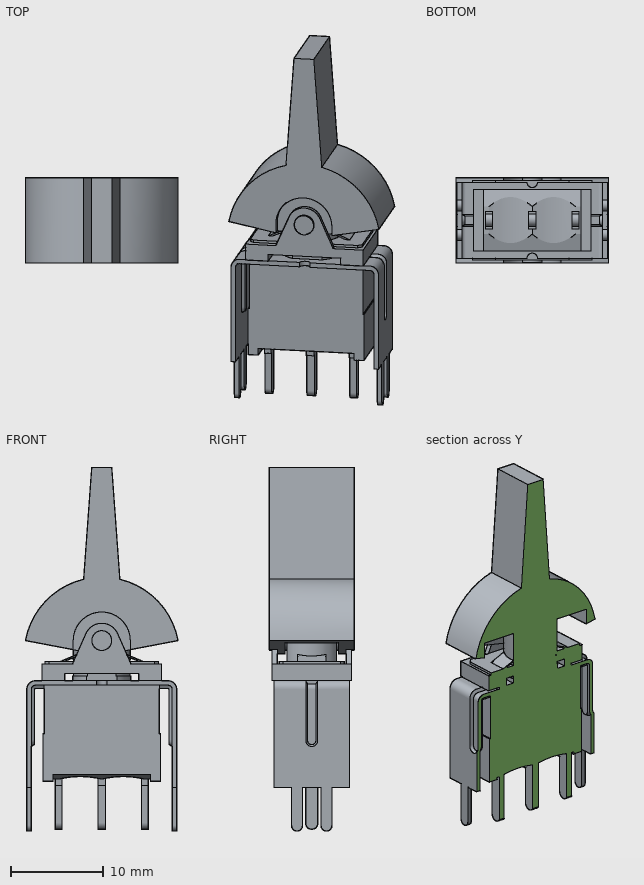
import cadquery as cq
import math


ROCKER_WIDTH = 9.27
ROCKER_HALF_SPAN = 8.3
ROCKER_ARC_RADIUS = 8.44
ROCKER_ARC_CENTER_Z = -1.54
ROCKER_SKIRT_SLOPE = 0.19
ROCKER_BOTTOM_Z = -1.45
OVERALL_HEIGHT = 39.5
LEVER_TOP_Z = 18.8
LEVER_TOP_HALF = 1.1
LEVER_BASE_HALF = 1.98
EAR_RECESS_RADIUS = 3.1
ROCKER_CAVITY_LENGTH = 14.1
ROCKER_CAVITY_WIDTH = 5.8
ROCKER_CAVITY_TOP_Z = 1.5

BRACKET_LENGTH = 13.0
BRACKET_WIDTH = 8.66
BRACKET_TOP_Z = -2.54
BRACKET_GAP_LENGTH = 8.0
BRACKET_GAP_TOP_Z = -3.58
EAR_RADIUS = 1.88
EAR_BASE_HALF = 3.18
EAR_THICKNESS = 0.6
PIVOT_DIAMETER = 2.15
PIVOT_LENGTH = 9.2

SEAL_LENGTH = 12.34
SEAL_WIDTH = 7.06
SEAL_TOP_Z = -2.27
SEAL_CHAMFER = 0.42
TAB_WIDTH = 3.06
TAB_FOOT_X = 4.5
TAB_TOP_Z = -1.5
TAB_THICKNESS = 0.2
BUSHING_RADIUS = 3.1
BUSHING_FLATS = 5.4
COLLAR_RADIUS = 3.16
COLLAR_TOP_Z = -3.85

FRAME_LENGTH = 16.3
FRAME_WIDTH = 8.24
FRAME_THICKNESS = 0.5
FRAME_TOP_Z = -4.35
FRAME_BEND_RADIUS = 0.95
LEG_BOTTOM_Z = -15.96
FRAME_NOTCH_RADIUS = 0.56
FRAME_PIN_SPACING = 3.2
FRAME_PIN_WIDTH = 1.2
FRAME_PIN_BOTTOM_Z = LEVER_TOP_Z - OVERALL_HEIGHT
EMBOSS_BASE_HALF = 0.65
EMBOSS_TIP_HALF = 0.45
EMBOSS_DEPTH = 0.36
EMBOSS_BOTTOM_Z = -11.5
EMBOSS_INNER_X = 5.0

BODY_WIDTH = 6.7
BODY_UPPER_LENGTH = 12.54
BODY_LOWER_LENGTH = 12.8
BODY_STEP_Z = -10.1
BODY_BOTTOM_Z = -15.3
BODY_NOTCH_LENGTH = 10.56
BODY_NOTCH_TOP_Z = -14.55
SEALANT_RIDGE_WIDTH = 3.0
SEALANT_LOW_Z = -15.05
SEALANT_HIGH_Z = -14.78
TERMINAL_PITCH = 4.68
TERMINAL_WIDTH = 1.35
TERMINAL_BOTTOM_Z = -20.5
END_TERMINAL_THICKNESS = 0.75
MIDDLE_TERMINAL_THICKNESS = 0.86
SHOULDER_WIDTH = 1.9
SHOULDER_BOTTOM_Z = -15.74

FRAME_UNDERSIDE_Z = FRAME_TOP_Z - FRAME_THICKNESS


def block(length, width, bottom, top):
    """Box centred on the Z axis between two heights."""
    return cq.Workplane("XY", origin=(0, 0, bottom)).rect(length, width).extrude(top - bottom)


def extrude_along_y(outline, width):
    """Extrude an XZ outline symmetrically about y = 0."""
    return outline.extrude(width / 2, both=True)


def make_rocker():
    arc_top_z = ROCKER_ARC_CENTER_Z + ROCKER_ARC_RADIUS
    base_z = ROCKER_ARC_CENTER_Z + math.sqrt(ROCKER_ARC_RADIUS**2 - LEVER_BASE_HALF**2)
    rim_z = ROCKER_ARC_CENTER_Z + math.sqrt(ROCKER_ARC_RADIUS**2 - ROCKER_HALF_SPAN**2)
    bottom_half = ROCKER_HALF_SPAN - (rim_z - ROCKER_BOTTOM_Z) / ROCKER_SKIRT_SLOPE

    segment = (
        cq.Workplane("XZ")
        .moveTo(-ROCKER_HALF_SPAN, rim_z)
        .threePointArc((0, arc_top_z), (ROCKER_HALF_SPAN, rim_z))
        .lineTo(bottom_half, ROCKER_BOTTOM_Z)
        .lineTo(-bottom_half, ROCKER_BOTTOM_Z)
        .close()
    )
    lever = cq.Workplane("XZ").polyline(
        [
            (-LEVER_BASE_HALF, 0),
            (-LEVER_BASE_HALF, base_z),
            (-LEVER_TOP_HALF, LEVER_TOP_Z),
            (LEVER_TOP_HALF, LEVER_TOP_Z),
            (LEVER_BASE_HALF, base_z),
            (LEVER_BASE_HALF, 0),
        ]
    ).close()
    rocker = extrude_along_y(segment, ROCKER_WIDTH).union(extrude_along_y(lever, ROCKER_WIDTH))

    recess = (
        cq.Workplane("XZ")
        .moveTo(-EAR_RECESS_RADIUS, ROCKER_BOTTOM_Z)
        .lineTo(-EAR_RECESS_RADIUS, 0)
        .threePointArc((0, EAR_RECESS_RADIUS), (EAR_RECESS_RADIUS, 0))
        .lineTo(EAR_RECESS_RADIUS, ROCKER_BOTTOM_Z)
        .close()
    )
    web_width = BRACKET_WIDTH - 2 * EAR_THICKNESS
    web = block(2 * ROCKER_HALF_SPAN, web_width, ROCKER_BOTTOM_Z, LEVER_TOP_Z)
    rocker = rocker.cut(extrude_along_y(recess, ROCKER_WIDTH).cut(web))

    cavity = block(ROCKER_CAVITY_LENGTH, ROCKER_CAVITY_WIDTH, ROCKER_BOTTOM_Z, ROCKER_CAVITY_TOP_Z)
    return rocker.cut(cavity)


def make_bracket():
    base = block(BRACKET_LENGTH, BRACKET_WIDTH, FRAME_TOP_Z, BRACKET_TOP_Z)
    base = base.cut(block(BRACKET_GAP_LENGTH, BRACKET_WIDTH, FRAME_TOP_Z, BRACKET_GAP_TOP_Z))

    corner_distance = math.hypot(EAR_BASE_HALF, BRACKET_TOP_Z)
    corner_angle = math.atan2(BRACKET_TOP_Z, EAR_BASE_HALF)
    tangent_angle = corner_angle + math.acos(EAR_RADIUS / corner_distance)
    tangent_x = EAR_RADIUS * math.cos(tangent_angle)
    tangent_z = EAR_RADIUS * math.sin(tangent_angle)
    ear = (
        cq.Workplane("XZ")
        .moveTo(-EAR_BASE_HALF, BRACKET_TOP_Z)
        .lineTo(-tangent_x, tangent_z)
        .threePointArc((0, EAR_RADIUS), (tangent_x, tangent_z))
        .lineTo(EAR_BASE_HALF, BRACKET_TOP_Z)
        .close()
    )
    between_ears = block(BRACKET_LENGTH, BRACKET_WIDTH - 2 * EAR_THICKNESS, BRACKET_TOP_Z, EAR_RADIUS)
    ears = extrude_along_y(ear, BRACKET_WIDTH).cut(between_ears)
    pivot = extrude_along_y(cq.Workplane("XZ").circle(PIVOT_DIAMETER / 2), PIVOT_LENGTH)
    return base.union(ears).union(pivot)


def make_flatted_cylinder(radius, top):
    """Upright cylinder standing on the body, with a flat on the front and on the back."""
    flats = block(2 * radius, BUSHING_FLATS, FRAME_UNDERSIDE_Z, top)
    base = cq.Workplane("XY", origin=(0, 0, FRAME_UNDERSIDE_Z))
    cylinder = base.circle(radius).extrude(top - FRAME_UNDERSIDE_Z)
    return cylinder.intersect(flats)


def make_seal_and_bushing():
    seal = block(SEAL_LENGTH, SEAL_WIDTH, BRACKET_TOP_Z, SEAL_TOP_Z).edges("|Z").chamfer(SEAL_CHAMFER)
    bushing = make_flatted_cylinder(BUSHING_RADIUS, ROCKER_CAVITY_TOP_Z)
    collar = make_flatted_cylinder(COLLAR_RADIUS, COLLAR_TOP_Z)
    tab_end_x = math.sqrt(BUSHING_RADIUS**2 - (TAB_WIDTH / 2) ** 2)
    tab_outline = cq.Workplane("XZ").polyline(
        [
            (TAB_FOOT_X, SEAL_TOP_Z),
            (tab_end_x, TAB_TOP_Z),
            (tab_end_x, TAB_TOP_Z - TAB_THICKNESS),
            (TAB_FOOT_X, SEAL_TOP_Z - TAB_THICKNESS),
        ]
    ).close()
    tab = extrude_along_y(tab_outline, TAB_WIDTH)
    return seal.union(bushing).union(collar).union(tab).union(tab.mirror("YZ"))


def make_emboss(inset):
    """Tapered bead on the +X leg, rooted `inset` inside the outer frame surface."""
    face_x = FRAME_LENGTH / 2 - inset
    face_z = FRAME_TOP_Z - inset
    radius = FRAME_BEND_RADIUS - inset
    end_z = EMBOSS_BOTTOM_Z + EMBOSS_BASE_HALF
    bend_z = face_z - radius
    bend_x = face_x - radius
    diagonal = radius * math.sqrt(0.5)
    path = (
        cq.Workplane("XZ")
        .moveTo(face_x, end_z)
        .lineTo(face_x, bend_z)
        .threePointArc((bend_x + diagonal, bend_z + diagonal), (bend_x, face_z))
        .lineTo(EMBOSS_INNER_X, face_z)
    )
    bead = (
        cq.Workplane("XY", origin=(face_x, 0, end_z))
        .polyline(
            [
                (0, -EMBOSS_BASE_HALF),
                (0, EMBOSS_BASE_HALF),
                (-EMBOSS_DEPTH, EMBOSS_TIP_HALF),
                (-EMBOSS_DEPTH, -EMBOSS_TIP_HALF),
            ]
        )
        .close()
        .sweep(path)
    )
    round_end = cq.Solid.makeCone(
        EMBOSS_BASE_HALF, EMBOSS_TIP_HALF, EMBOSS_DEPTH, cq.Vector(face_x, 0, end_z), cq.Vector(-1, 0, 0)
    )
    return bead.union(cq.Workplane(obj=round_end))


def make_blade(thickness, width, bottom, top):
    """Flat pin with a full-round lower end, centred on the Z axis."""
    radius = width / 2
    return (
        cq.Workplane("YZ")
        .moveTo(-radius, top)
        .lineTo(-radius, bottom + radius)
        .threePointArc((0, bottom), (radius, bottom + radius))
        .lineTo(radius, top)
        .close()
        .extrude(thickness / 2, both=True)
    )


def make_frame():
    inner_length = FRAME_LENGTH - 2 * FRAME_THICKNESS
    inner_radius = FRAME_BEND_RADIUS - FRAME_THICKNESS
    outer = block(FRAME_LENGTH, FRAME_WIDTH, LEG_BOTTOM_Z, FRAME_TOP_Z)
    inner = block(inner_length, FRAME_WIDTH, LEG_BOTTOM_Z, FRAME_UNDERSIDE_Z)
    outer = outer.edges("|Y and >Z").fillet(FRAME_BEND_RADIUS)
    inner = inner.edges("|Y and >Z").fillet(inner_radius)
    frame = outer.cut(inner)

    bead = make_emboss(FRAME_THICKNESS)
    groove = make_emboss(0)
    frame = frame.union(bead).union(bead.mirror("YZ")).cut(groove).cut(groove.mirror("YZ"))

    for side in (-1, 1):
        notch = (
            cq.Workplane("XY", origin=(0, side * FRAME_WIDTH / 2, FRAME_UNDERSIDE_Z))
            .circle(FRAME_NOTCH_RADIUS)
            .extrude(FRAME_THICKNESS)
        )
        frame = frame.cut(notch)

    pin = make_blade(FRAME_THICKNESS, FRAME_PIN_WIDTH, FRAME_PIN_BOTTOM_Z, LEG_BOTTOM_Z)
    pin_x = (FRAME_LENGTH - FRAME_THICKNESS) / 2
    for x in (-pin_x, pin_x):
        for y in (-FRAME_PIN_SPACING / 2, FRAME_PIN_SPACING / 2):
            frame = frame.union(pin.translate((x, y, 0)))
    return frame


def make_body():
    body = block(BODY_UPPER_LENGTH, BODY_WIDTH, BODY_STEP_Z, FRAME_UNDERSIDE_Z)
    body = body.union(block(BODY_LOWER_LENGTH, BODY_WIDTH, BODY_BOTTOM_Z, BODY_STEP_Z))
    body = body.cut(block(BODY_NOTCH_LENGTH, BODY_WIDTH, BODY_BOTTOM_Z, BODY_NOTCH_TOP_Z))

    half_notch = BODY_NOTCH_LENGTH / 2
    sealant = (
        cq.Workplane("XZ")
        .moveTo(-half_notch, BODY_NOTCH_TOP_Z)
        .lineTo(-half_notch, SEALANT_LOW_Z)
        .lineTo(-TERMINAL_PITCH, SEALANT_LOW_Z)
        .threePointArc((-TERMINAL_PITCH / 2, SEALANT_HIGH_Z), (0, SEALANT_LOW_Z))
        .threePointArc((TERMINAL_PITCH / 2, SEALANT_HIGH_Z), (TERMINAL_PITCH, SEALANT_LOW_Z))
        .lineTo(half_notch, SEALANT_LOW_Z)
        .lineTo(half_notch, BODY_NOTCH_TOP_Z)
        .close()
    )
    ridge = (
        cq.Workplane("YZ")
        .moveTo(-BODY_WIDTH / 2, BODY_NOTCH_TOP_Z)
        .lineTo(-SEALANT_RIDGE_WIDTH / 2, SEALANT_LOW_Z)
        .lineTo(SEALANT_RIDGE_WIDTH / 2, SEALANT_LOW_Z)
        .lineTo(BODY_WIDTH / 2, BODY_NOTCH_TOP_Z)
        .close()
        .extrude(half_notch, both=True)
    )
    return body.union(extrude_along_y(sealant, BODY_WIDTH).intersect(ridge))


def make_terminal(thickness):
    blade = make_blade(thickness, TERMINAL_WIDTH, TERMINAL_BOTTOM_Z, BODY_NOTCH_TOP_Z)
    return blade.union(block(thickness, SHOULDER_WIDTH, SHOULDER_BOTTOM_Z, BODY_NOTCH_TOP_Z))


result = make_body().union(make_frame()).union(make_bracket())
result = result.union(make_seal_and_bushing()).union(make_rocker())
result = result.union(make_terminal(MIDDLE_TERMINAL_THICKNESS))
for terminal_x in (-TERMINAL_PITCH, TERMINAL_PITCH):
    result = result.union(make_terminal(END_TERMINAL_THICKNESS).translate((terminal_x, 0, 0)))